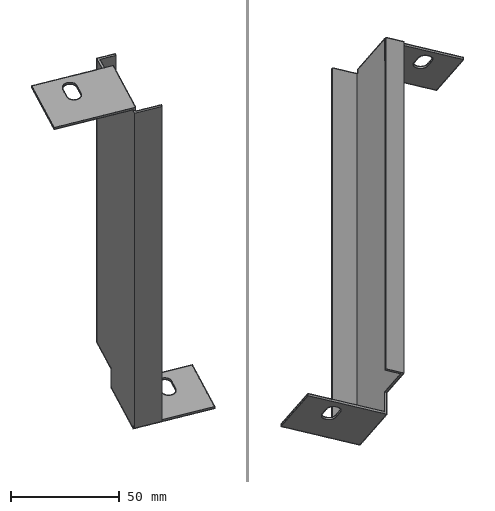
import cadquery as cq

height = 202.0
width = 51.0
depth = 78.8
thickness = 1.2

tab_width = 30.0
right_margin = 1.8
right_end_inset = 1.8
left_end_inset = 11.7
left_flange_depth = 9.0
right_flange_depth = 13.5

slot_length = 12.1
slot_width = 6.9
slot_from_tab_side = 9.7
slot_from_tab_tip = 16.2

right = width / 2
left = -right
tab_right = right - right_margin
tab_left = tab_right - tab_width
web_front = -thickness / 2
tab_depth = (depth + thickness) / 2
top = height / 2
bottom = -top


def block(x_min, x_max, y_min, y_max, z_min, z_max):
    """Box between the given limits."""
    size = (x_max - x_min, y_max - y_min, z_max - z_min)
    return cq.Workplane("XY").box(*size, centered=False).translate((x_min, y_min, z_min))


def upright(x_min, x_max, y_depth, end_inset):
    """Full-height piece starting at the web front, shortened equally at both ends."""
    return block(x_min, x_max, web_front, web_front + y_depth, bottom + end_inset, top - end_inset)


def end_tab(y_min, z_min, slot_y):
    """Horizontal tab with one slot running along X."""
    tab = block(tab_left, tab_right, y_min, y_min + tab_depth, z_min, z_min + thickness)
    slot = (
        cq.Workplane("XY", origin=(tab_left + slot_from_tab_side, slot_y, z_min))
        .slot2D(slot_length, slot_width)
        .extrude(thickness)
    )
    return tab.cut(slot)


web = upright(tab_left, tab_right, thickness, 0)
web = web.union(upright(left, tab_left, thickness, left_end_inset))
web = web.union(upright(tab_right, right, thickness, right_end_inset))

left_flange = upright(left, left + thickness, left_flange_depth, left_end_inset)
right_flange = upright(right - thickness, right, right_flange_depth, right_end_inset)

slot_offset = depth / 2 - slot_from_tab_tip
top_tab = end_tab(-depth / 2, top - thickness, -slot_offset)
bottom_tab = end_tab(depth / 2 - tab_depth, bottom, slot_offset)

result = web.union(left_flange).union(right_flange).union(top_tab).union(bottom_tab).clean()